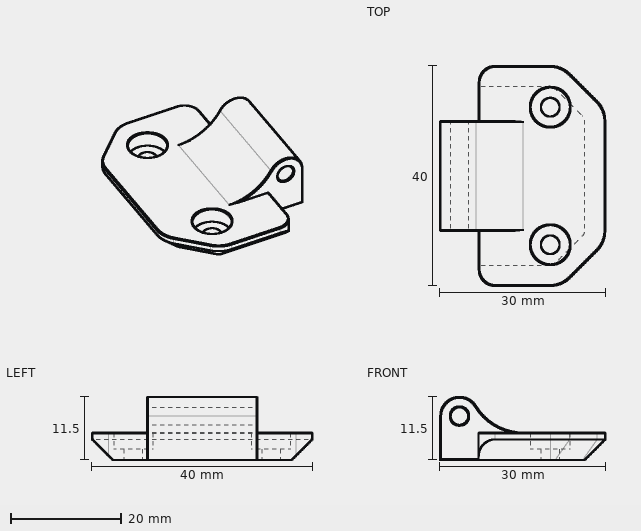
import cadquery as cq
import math

length_x = 30.0
length_y = 40.0
plate_left = 7.0
plate_height = 5.0
bevel = 3.75
left_corner_radius = 3.0
right_corner_radius = 5.0
corner_start_x = 20.0

knuckle_width = 20.0
knuckle_radius = 3.5
pin_height = 8.0
pin_diameter = 3.2
sweep_radius = 10.0

screw_x = 20.0
screw_spacing = 25.0
screw_diameter = 3.35
head_diameter = 7.1
head_depth = 3.0

edge_break = 0.15

corner_tangent = right_corner_radius * math.tan(math.radians(22.5))
corner_cut = length_x - corner_start_x - corner_tangent


def outline(workplane, left):
    """Rectangle from left to the outer side, with both right corners cut at 45 degrees."""
    half_y = length_y / 2
    return workplane.polyline([
        (left, -half_y),
        (length_x - corner_cut, -half_y),
        (length_x, -half_y + corner_cut),
        (length_x, half_y - corner_cut),
        (length_x - corner_cut, half_y),
        (left, half_y),
    ]).close()


def rounded_prism(left, left_radius):
    prism = outline(cq.Workplane("XY"), left).extrude(plate_height)
    prism = prism.edges("|Z and (not <X)").fillet(right_corner_radius)
    return prism.edges("|Z and <X").fillet(left_radius)


def make_plate():
    plate = rounded_prism(plate_left, left_corner_radius)
    envelope_left = plate_left - 2 * bevel
    envelope = rounded_prism(envelope_left, right_corner_radius)
    envelope = envelope.faces("<Z").chamfer(bevel)
    plate = plate.faces(">Z").chamfer(edge_break)
    return plate.intersect(envelope)


def make_knuckle():
    centre_distance = knuckle_radius + sweep_radius
    sweep_rise = plate_height + sweep_radius - pin_height
    sweep_end_x = knuckle_radius + math.sqrt(centre_distance**2 - sweep_rise**2)
    tangent_angle = math.asin(sweep_rise / centre_distance)
    tangent_point = (
        knuckle_radius + knuckle_radius * math.cos(tangent_angle),
        pin_height + knuckle_radius * math.sin(tangent_angle),
    )
    middle_angle = (tangent_angle + math.pi / 2) / 2
    sweep_middle = (
        sweep_end_x - sweep_radius * math.cos(middle_angle),
        plate_height + sweep_radius - sweep_radius * math.sin(middle_angle),
    )
    knuckle = (
        cq.Workplane("XZ")
        .moveTo(0, 0)
        .lineTo(0, pin_height)
        .threePointArc((knuckle_radius, pin_height + knuckle_radius), tangent_point)
        .threePointArc(sweep_middle, (sweep_end_x, plate_height))
        .lineTo(sweep_end_x, 0)
        .close()
        .moveTo(knuckle_radius, pin_height)
        .circle(pin_diameter / 2)
        .extrude(knuckle_width / 2, both=True)
    )
    return knuckle.faces("<Y or >Y").chamfer(edge_break)


def make_screw_cutter():
    """Solid of revolution: screw hole, head recess and the bevel at its mouth."""
    head_radius = head_diameter / 2
    head_floor = plate_height - head_depth
    return (
        cq.Workplane("XZ")
        .polyline([
            (0, 0),
            (screw_diameter / 2, 0),
            (screw_diameter / 2, head_floor),
            (head_radius, head_floor),
            (head_radius, plate_height - edge_break),
            (head_radius + edge_break, plate_height),
            (0, plate_height),
        ])
        .close()
        .revolve(360, (0, 0, 0), (0, 1, 0))
    )


body = make_plate().union(make_knuckle())
for side in (-1, 1):
    body = body.cut(make_screw_cutter().translate((screw_x, side * screw_spacing / 2, 0)))

result = body